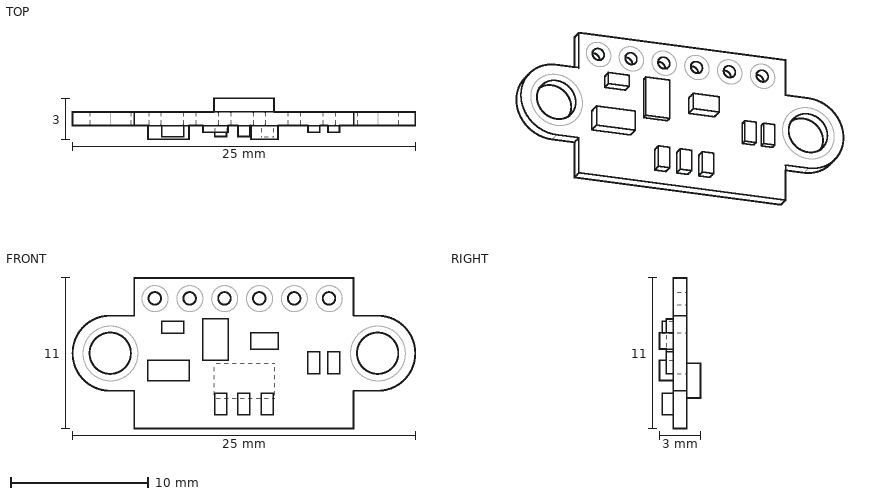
import cadquery as cq

BOARD_WIDTH = 16.0
BOARD_HEIGHT = 11.0
BOARD_THICKNESS = 1.0
FRONT_Y = -BOARD_THICKNESS / 2
BACK_Y = BOARD_THICKNESS / 2

OVERALL_LENGTH = 25.0
EAR_DIAMETER = 5.5
EAR_CENTRE_X = (OVERALL_LENGTH - EAR_DIAMETER) / 2
EAR_HOLE_DIAMETER = 3.0
EAR_PAD_DIAMETER = 4.0

PIN_COUNT = 6
PIN_PITCH = 2.54
PIN_FIRST_X = -6.5
PIN_ROW_Z = 4.0
PIN_HOLE_DIAMETER = 0.9
PIN_PAD_DIAMETER = 1.9

CHIP_LENGTH = 1.6
CHIP_WIDTH = 0.87
LOW_CHIP_DEPTH = 0.5
TALL_CHIP_DEPTH = 0.8
LYING_CHIP_CENTRE = (-5.2, 1.9)
LOWER_CHIP_PITCH = 1.7
LOWER_CHIP_Z = -3.7
RIGHT_CHIP_XS = (5.1, 6.55)
RIGHT_CHIP_Z = -0.7

FLAT_IC_SIZE = (1.85, 3.0)
FLAT_IC_CENTRE = (-2.07, 1.0)
FLAT_IC_DEPTH = 0.5
REGULATOR_SIZE = (2.0, 1.2)
REGULATOR_CENTRE = (1.5, 0.9)
REGULATOR_DEPTH = 1.0
CAPACITOR_SIZE = (3.0, 1.5)
CAPACITOR_CENTRE = (-5.5, -1.25)
CAPACITOR_DEPTH = 1.0
SENSOR_SIZE = (4.4, 2.55)
SENSOR_CENTRE = (0.0, -2.0)
SENSOR_DEPTH = 1.0


def block(size, centre, depth, middle_y):
    """Box with its XZ size and centre given, spanning depth about middle_y."""
    return cq.Workplane("XY").box(size[0], depth, size[1]).translate((centre[0], middle_y, centre[1]))


def front_block(size, centre, depth):
    """Component standing on the front face."""
    return block(size, centre, depth, FRONT_Y - depth / 2)


def back_block(size, centre, depth):
    """Component standing on the back face."""
    return block(size, centre, depth, BACK_Y + depth / 2)


def through_disc(diameter, centre):
    """Disc through the full thickness of the board."""
    plane = cq.Workplane("XZ", origin=(centre[0], BACK_Y, centre[1]))
    return plane.circle(diameter / 2).extrude(BOARD_THICKNESS)


def board_blank():
    """Rectangular plate joined to the bar that carries the two rounded ears."""
    blank = block((BOARD_WIDTH, BOARD_HEIGHT), (0, 0), BOARD_THICKNESS, 0)
    blank = blank.union(block((2 * EAR_CENTRE_X, EAR_DIAMETER), (0, 0), BOARD_THICKNESS, 0))
    for side in (-1, 1):
        blank = blank.union(through_disc(EAR_DIAMETER, (side * EAR_CENTRE_X, 0)))
    return blank


def add_plated_hole(board, centre, hole_diameter, pad_diameter):
    """Bore a hole lined by a flush ring; the ring keeps its own outline on the board faces."""
    pad = through_disc(pad_diameter, centre)
    ring = pad.cut(through_disc(hole_diameter, centre))
    return board.cut(pad, clean=False).union(ring, clean=False)


def components():
    """All blocks mounted on the front and back of the board."""
    upright_chip = (CHIP_WIDTH, CHIP_LENGTH)
    lying_chip = (CHIP_LENGTH, CHIP_WIDTH)
    parts = [
        front_block(lying_chip, LYING_CHIP_CENTRE, TALL_CHIP_DEPTH),
        front_block(FLAT_IC_SIZE, FLAT_IC_CENTRE, FLAT_IC_DEPTH),
        front_block(REGULATOR_SIZE, REGULATOR_CENTRE, REGULATOR_DEPTH),
        front_block(CAPACITOR_SIZE, CAPACITOR_CENTRE, CAPACITOR_DEPTH),
        back_block(SENSOR_SIZE, SENSOR_CENTRE, SENSOR_DEPTH),
    ]
    for step in (-1, 0, 1):
        centre = (step * LOWER_CHIP_PITCH, LOWER_CHIP_Z)
        parts.append(front_block(upright_chip, centre, TALL_CHIP_DEPTH))
    for chip_x in RIGHT_CHIP_XS:
        parts.append(front_block(upright_chip, (chip_x, RIGHT_CHIP_Z), LOW_CHIP_DEPTH))
    return parts


result = board_blank()

for part in components():
    result = result.union(part)

for side in (-1, 1):
    ear_centre = (side * EAR_CENTRE_X, 0)
    result = add_plated_hole(result, ear_centre, EAR_HOLE_DIAMETER, EAR_PAD_DIAMETER)

for index in range(PIN_COUNT):
    pin_centre = (PIN_FIRST_X + index * PIN_PITCH, PIN_ROW_Z)
    result = add_plated_hole(result, pin_centre, PIN_HOLE_DIAMETER, PIN_PAD_DIAMETER)